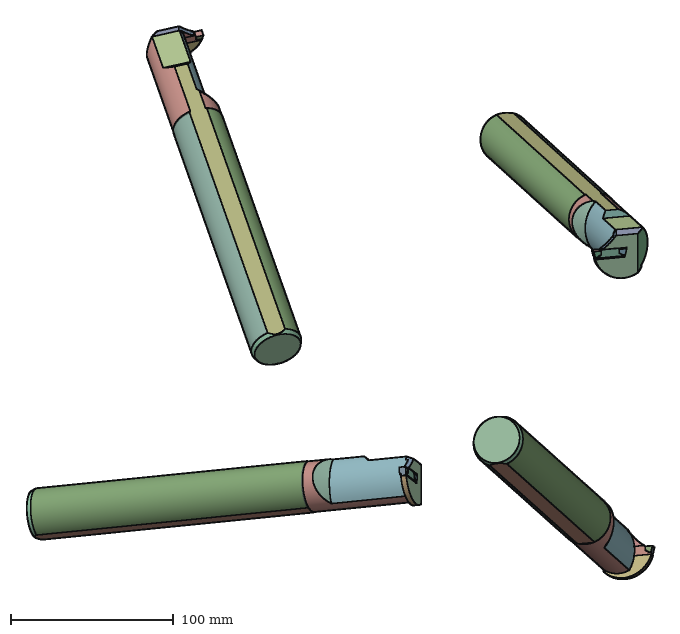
import cadquery as cq

total_length = 250.0
shank_radius = 16.0
shank_start = 69.5
step_chamfer_length = 0.7
flat_height = 15.0
end_chamfer_length = 3.0
end_chamfer_depth = 1.2

head_radius = 15.7
neck_end = 54.0
neck_radius = 24.2
neck_center_y = -14.0
neck_center_z = -1.7
flare_length = 4.0
flare_rise = 2.5

recess_height = 11.2
recess_end = 30.0
nose_height = 9.0
nose_length = 5.0
corner_chamfer = 9.2

lip_radius = 18.7
lip_center_y = 3.0
lip_thickness = 3.5
lip_top_length = 5.0
lip_root_y = 4.2
lip_root_z = 14.0
lip_middle_y = 10.2
lip_middle_z = 6.0
lip_tip_y = 16.5

insert_outer_y = 22.0
insert_inner_y = 0.7
insert_rib_height = 0.7
insert_depth = 5.2
insert_end_relief = 1.2
insert_side_inset = 0.2
insert_edge_chamfer = 0.7
tip_length = 4.7
tip_width = 4.2
tip_depth = 4.0
tip_side_depth = 2.5
tip_step_length = 0.7

clearance = 50.0


def cylinder_along_x(radius, start, end, center_y=0.0):
    return cq.Workplane("YZ", origin=(start, center_y, 0)).circle(radius).extrude(end - start)


def prism_along_x(points, start, end):
    return cq.Workplane("YZ", origin=(start, 0, 0)).polyline(points).close().extrude(end - start)


def make_shank():
    profile = [
        (shank_start, 0),
        (shank_start, head_radius),
        (shank_start + step_chamfer_length, shank_radius),
        (total_length - end_chamfer_length, shank_radius),
        (total_length, shank_radius - end_chamfer_depth),
        (total_length, 0),
    ]
    shank = cq.Workplane("XY").polyline(profile).close().revolve(360, (0, 0, 0), (1, 0, 0))
    flats = cq.Workplane("XY").box(2 * total_length, 2 * clearance, 2 * flat_height)
    return shank.intersect(flats)


def make_neck_envelope():
    """Round core about an offset axis, flaring out conically to the full head."""
    flare_end = neck_end + (clearance - neck_radius) * flare_length / flare_rise
    profile = [
        (0, neck_center_y),
        (0, neck_center_y + neck_radius),
        (neck_end, neck_center_y + neck_radius),
        (flare_end, neck_center_y + clearance),
        (flare_end, neck_center_y),
    ]
    axis_start = (0, neck_center_y, 0)
    axis_end = (1, neck_center_y, 0)
    plane = cq.Workplane("XY", origin=(0, 0, neck_center_z))
    return plane.polyline(profile).close().revolve(360, axis_start, axis_end)


def make_head():
    head = cylinder_along_x(head_radius, 0, shank_start).intersect(make_neck_envelope())
    top_cut = (
        cq.Workplane("XZ")
        .polyline([
            (0, nose_height),
            (nose_length, recess_height),
            (recess_end, recess_height),
            (recess_end + flat_height - recess_height, flat_height),
            (shank_start, flat_height),
            (shank_start, clearance),
            (0, clearance),
        ])
        .close()
        .extrude(clearance, both=True)
    )
    return head.cut(top_cut)


def make_lip_relief():
    """Everything above the concave top edge of the lip."""
    return (
        cq.Workplane("YZ")
        .moveTo(lip_root_y, lip_root_z)
        .threePointArc((lip_middle_y, lip_middle_z), (lip_tip_y, insert_rib_height))
        .lineTo(clearance, insert_rib_height)
        .lineTo(clearance, clearance)
        .lineTo(lip_root_y, clearance)
        .close()
        .extrude(lip_top_length)
    )


def make_nose_slope_cut():
    slope = [(0, nose_height), (nose_length, recess_height), (nose_length, clearance), (0, clearance)]
    return cq.Workplane("XZ").polyline(slope).close().extrude(clearance, both=True)


def make_corner_cut():
    """45 degree cut across the front corner on the -Y side."""
    corner_y = -head_radius + corner_chamfer
    run = clearance + corner_y
    triangle = [(0, corner_y), (run, -clearance), (0, -clearance)]
    return cq.Workplane("XY").polyline(triangle).close().extrude(clearance, both=True)


def make_insert():
    inner_tip_y = insert_inner_y + tip_length
    outer_tip_y = insert_outer_y - tip_length
    body = prism_along_x(
        [
            (insert_outer_y, 0),
            (outer_tip_y, 0),
            (outer_tip_y - tip_step_length, insert_rib_height),
            (inner_tip_y + tip_step_length, insert_rib_height),
            (inner_tip_y, 0),
            (insert_inner_y, 0),
            (insert_inner_y + insert_end_relief, -insert_depth),
            (insert_outer_y - insert_end_relief, -insert_depth),
        ],
        insert_side_inset,
        lip_thickness,
    )
    body = body.faces("<Z").edges("<X").chamfer(insert_edge_chamfer)
    relief_at_tip = insert_end_relief * tip_depth / insert_depth
    for end_y, inward in ((insert_outer_y, -1), (insert_inner_y, 1)):
        tip = prism_along_x(
            [
                (end_y, 0),
                (end_y + inward * tip_length, 0),
                (end_y + inward * tip_length, -tip_side_depth),
                (end_y + inward * tip_length / 2, -tip_depth),
                (end_y + inward * relief_at_tip, -tip_depth),
            ],
            0,
            tip_width,
        )
        body = body.union(tip)
    return body


def make_insert_seat():
    """Slot through the front face that the insert fills, open to the +Y side."""
    slot = prism_along_x(
        [
            (insert_inner_y, insert_rib_height),
            (insert_inner_y, 0),
            (insert_inner_y + insert_end_relief, -insert_depth),
            (clearance, -insert_depth),
            (clearance, insert_rib_height),
        ],
        0,
        lip_thickness,
    )
    return slot.union(make_insert())


def make_holder():
    lip = cylinder_along_x(lip_radius, 0, lip_thickness, lip_center_y)
    front = make_head().union(lip)
    front = front.cut(make_lip_relief()).cut(make_nose_slope_cut())
    front = front.cut(make_corner_cut()).cut(make_insert_seat())
    return front.union(make_shank())


holder = make_holder()
insert = make_insert()
result = cq.Compound.makeCompound([holder.val(), insert.val()])